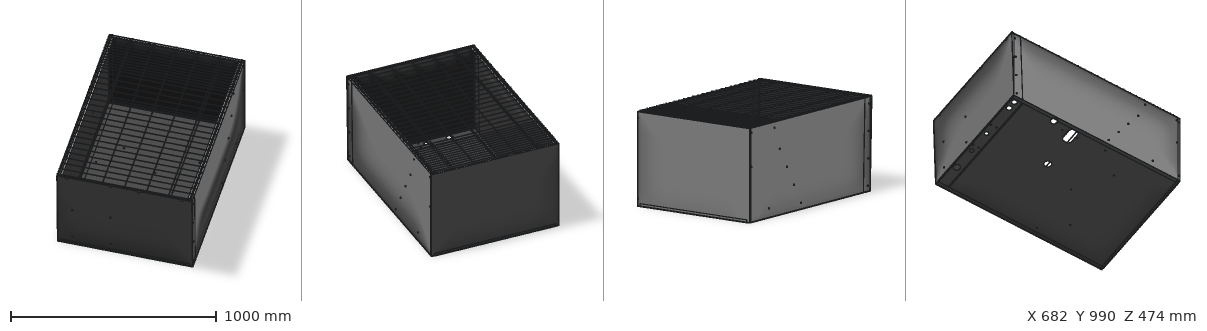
import cadquery as cq

WIDTH = 682.0
LENGTH = 990.0
HEIGHT = 474.0
SHEET = 1.5
BOX_TOP = 470.0

HALF_WIDTH = WIDTH / 2
HALF_LENGTH = LENGTH / 2
SCREW_HOLE = 7.0
SMALL_HOLE = 5.0

REAR_DEPTH = 12.0
REAR_Y = HALF_LENGTH - SHEET

WALL_REAR_Y = REAR_Y - REAR_DEPTH
WALL_TOP_FLANGE = 26.0
WALL_NARROW_FLANGE = 20.0
WALL_BASE = SHEET

LIP_INSET = 16.0
LIP_HALF_WIDTH = HALF_WIDTH - LIP_INSET
FLOOR_HALF_OPENING = HALF_WIDTH - WALL_NARROW_FLANGE
LIP_HEIGHT = 15.0
BEAD_WIDTH = 7.0
BEAD_Y = -418.0

FRONT_LEAN = 13.0
FRONT_BASE_Y = -HALF_LENGTH + FRONT_LEAN
WALL_FRONT_Y = FRONT_BASE_Y + SHEET
LIP_GAP = 2.1
FRONT_SIDE_FLANGE = 53.0
FRONT_HOLE_INSET = 19.0
FRONT_LIP_Y = WALL_FRONT_Y + LIP_GAP

CROSS_WIRE = 2.0
LONG_WIRE = 2.5
ROD = 2.0
ROD_X = 233.0
WIRE_FRONT_Y = -493.0
CROSS_Z = HEIGHT - CROSS_WIRE / 2
LONG_Z = BOX_TOP + LONG_WIRE / 2


def block(x_range, y_range, z_range):
    """Box between the given limits along X, Y and Z."""
    size = [high - low for low, high in (x_range, y_range, z_range)]
    corner = cq.Vector(x_range[0], y_range[0], z_range[0])
    return cq.Workplane(cq.Solid.makeBox(*size, corner))


def hole_along_x(diameter, y, z):
    """Cutter through both side walls."""
    start = cq.Vector(-WIDTH, y, z)
    return cq.Workplane(cq.Solid.makeCylinder(diameter / 2, 2 * WIDTH, start, cq.Vector(1, 0, 0)))


def hole_along_y(diameter, x, z):
    """Cutter through the front panel only."""
    start = cq.Vector(x, -LENGTH, z)
    depth = LENGTH + WALL_FRONT_Y
    return cq.Workplane(cq.Solid.makeCylinder(diameter / 2, depth, start, cq.Vector(0, 1, 0)))


def hole_along_z(diameter, x, y, start_z=-HEIGHT / 2):
    """Vertical cutter as long as the box is high; by default it cuts only the lower half."""
    start = cq.Vector(x, y, start_z)
    return cq.Workplane(cq.Solid.makeCylinder(diameter / 2, HEIGHT, start))


def cut_all(body, cutters):
    """Body with every cutter taken away."""
    for cutter in cutters:
        body = body.cut(cutter)
    return body


def front_face_y(z):
    """Y of the leaning outer face of the front panel at height z."""
    return FRONT_BASE_Y - FRONT_LEAN * z / BOX_TOP


FRONT_SCREW_Z = [29.0 + 136.0 * i for i in range(4)]
front_side_holes = [
    hole_along_x(SCREW_HOLE, front_face_y(z) + FRONT_HOLE_INSET, z) for z in FRONT_SCREW_Z
]


def make_floor():
    lip_x = (-LIP_HALF_WIDTH, LIP_HALF_WIDTH)
    floor = block((-HALF_WIDTH, HALF_WIDTH), (FRONT_BASE_Y, REAR_Y), (0, SHEET))
    rear_lip = block(lip_x, (REAR_Y, HALF_LENGTH), (0, LIP_HEIGHT))
    front_lip = block(lip_x, (FRONT_LIP_Y, FRONT_LIP_Y + SHEET), (0, LIP_HEIGHT))
    bead_y = (BEAD_Y - BEAD_WIDTH / 2, BEAD_Y + BEAD_WIDTH / 2)
    bead = block((-FLOOR_HALF_OPENING, FLOOR_HALF_OPENING), bead_y, (0, 2 * SHEET))
    floor = floor.union(rear_lip).union(front_lip).union(bead)
    return cut_all(floor, floor_holes() + [floor_slot()])


def floor_holes():
    front_row_y = -455.0
    round_holes = [
        (38.0, 70.0, -101.0),
        (36.0, 314.0, -228.0),
        (37.0, -194.0, front_row_y),
        (22.0, -65.0, front_row_y),
        (22.0, 65.0, front_row_y),
        (28.0, 260.0, front_row_y),
        (28.0, 306.0, front_row_y),
        (SMALL_HOLE, 288.0, -74.0),
        (SMALL_HOLE, 288.0, -163.0),
    ]
    screw_places = [(x, y) for x in (-30.0, 123.0) for y in (-438.0, -469.0)]
    screw_places += [(x, 207.0) for x in (-190.0, 190.0)]
    rivet_places = [(x, 83.0) for x in (-297.0, 0, 297.0)]
    rivet_places += [(x, BEAD_Y) for x in (-304.0, 0, 304.0)]
    round_holes += [(SMALL_HOLE, x, y) for x, y in rivet_places]
    return [hole_along_z(*hole) for hole in round_holes] + [
        hole_along_z(SCREW_HOLE, x, y) for x, y in screw_places
    ]


def floor_slot():
    slot = block((236.0, FLOOR_HALF_OPENING), (-134.0, -84.0), (-HEIGHT, HEIGHT))
    return slot.edges("|Z").fillet(17.0)


def make_wall(side):
    """Side wall with inward flanges along its top, rear and bottom; side is -1 for left, +1 for right."""

    def strip(depth, y_range, z_range):
        x_range = sorted((side * HALF_WIDTH, side * (HALF_WIDTH - depth)))
        return block(x_range, y_range, z_range)

    full_y = (WALL_FRONT_Y, WALL_REAR_Y)
    wall = strip(SHEET, full_y, (WALL_BASE, BOX_TOP))
    wall = wall.union(strip(WALL_TOP_FLANGE, full_y, (BOX_TOP - SHEET, BOX_TOP)))
    rear_y = (WALL_REAR_Y - SHEET, WALL_REAR_Y)
    wall = wall.union(strip(WALL_NARROW_FLANGE, rear_y, (WALL_BASE, BOX_TOP)))
    bottom_y = (FRONT_LIP_Y + SHEET, WALL_REAR_Y)
    wall = wall.union(strip(WALL_NARROW_FLANGE, bottom_y, (WALL_BASE, WALL_BASE + SHEET)))

    places = [(247.5 - 57.0 * i, 330.0 - 99.0 * i) for i in range(4)]
    places += [(289.0, 442.0), (334.0, 48.0)]
    rear_column_y = 474.0
    holes = [hole_along_x(SCREW_HOLE, y, z) for y, z in places]
    holes.append(hole_along_x(SCREW_HOLE, rear_column_y, 445.0))
    holes.append(hole_along_x(SMALL_HOLE, rear_column_y, 277.0))
    return cut_all(wall, holes + floor_holes() + front_side_holes)


def leaning_plate(x_range, depth, z_range):
    """Plate that starts at the leaning outer face and goes back by depth along Y."""
    bottom, top = z_range
    outline = [
        (front_face_y(bottom), bottom),
        (front_face_y(bottom) + depth, bottom),
        (front_face_y(top) + depth, top),
        (front_face_y(top), top),
    ]
    plate = cq.Workplane("YZ").polyline(outline).close().extrude(x_range[1] - x_range[0])
    return plate.translate((x_range[0], 0, 0))


def make_front():
    full_x = (-HALF_WIDTH, HALF_WIDTH)
    flange_base = BOX_TOP - SHEET
    front = leaning_plate(full_x, SHEET, (WALL_BASE, BOX_TOP))
    front = front.union(block(full_x, (front_face_y(flange_base), WALL_FRONT_Y), (flange_base, BOX_TOP)))
    side_flange_z = (WALL_BASE + SHEET, flange_base)
    inner_half = HALF_WIDTH - SHEET
    for x_range in ((-inner_half, SHEET - inner_half), (inner_half - SHEET, inner_half)):
        front = front.union(leaning_plate(x_range, FRONT_SIDE_FLANGE, side_flange_z))

    top_hole = 15.0
    top_hole_z = 467.0
    holes = [hole_along_y(top_hole, x, top_hole_z) for x in (-290.0, -72.0, 72.0, 290.0)]
    holes += [hole_along_y(SCREW_HOLE, x, z) for x in (-264.0, -72.0) for z in (52.0, 242.0)]
    return cut_all(front, holes + front_side_holes)


def make_rear():
    inner_half = HALF_WIDTH - SHEET
    rear = block((-HALF_WIDTH, HALF_WIDTH), (WALL_REAR_Y, REAR_Y), (WALL_BASE, BOX_TOP))
    hollow_z = (WALL_BASE + SHEET, BOX_TOP - SHEET)
    rear = rear.cut(block((-inner_half, inner_half), (WALL_REAR_Y, REAR_Y - SHEET), hollow_z))

    flange_middle = (WALL_REAR_Y + REAR_Y) / 2
    holes = [hole_along_x(SCREW_HOLE, flange_middle, z) for z in (37.0, 438.0)]
    holes += [hole_along_z(SCREW_HOLE, x, flange_middle, HEIGHT / 2) for x in (-138.0, 138.0)]
    return cut_all(rear, holes)


def cross_wire(y):
    start = cq.Vector(-HALF_WIDTH, y, CROSS_Z)
    return cq.Solid.makeCylinder(CROSS_WIRE / 2, WIDTH, start, cq.Vector(1, 0, 0))


def long_wire(diameter, x, y_range, z):
    start = cq.Vector(x, y_range[0], z)
    return cq.Solid.makeCylinder(diameter / 2, y_range[1] - y_range[0], start, cq.Vector(0, 1, 0))


def evenly_spaced(first, last, count):
    step = (last - first) / (count - 1)
    return [first + step * i for i in range(count)]


def make_grid():
    """Welded grid: the cross wires bite slightly into the long wires below them."""
    cross_places = evenly_spaced(472.0, 263.0, 12)
    cross_places += evenly_spaced(238.0, -484.0, 20)
    cross_places.append(WIRE_FRONT_Y + CROSS_WIRE / 2)

    long_pitch = 111.0
    long_shift = -2.0
    edge_wire_x = 326.0
    long_places = [long_shift + long_pitch * i for i in range(-3, 4)]
    long_places += [-edge_wire_x, edge_wire_x]
    long_span = (WIRE_FRONT_Y, REAR_Y)

    cross_wires = [cross_wire(y) for y in cross_places]
    long_wires = [long_wire(LONG_WIRE, x, long_span, LONG_Z) for x in long_places]
    return long_wires[0].fuse(*long_wires[1:], *cross_wires)


def make_rod(x):
    """Loose rod under the cross wires."""
    return long_wire(ROD, x, (WIRE_FRONT_Y, WALL_REAR_Y), BOX_TOP + ROD / 2)


floor = make_floor()
walls = [make_wall(side) for side in (-1, 1)]
front = make_front()
rear = make_rear()
grid = make_grid()
rods = [make_rod(x) for x in (-ROD_X, ROD_X)]

result = cq.Compound.makeCompound(
    [floor.val(), *[wall.val() for wall in walls], front.val(), rear.val(), *grid.Solids(), *rods]
)